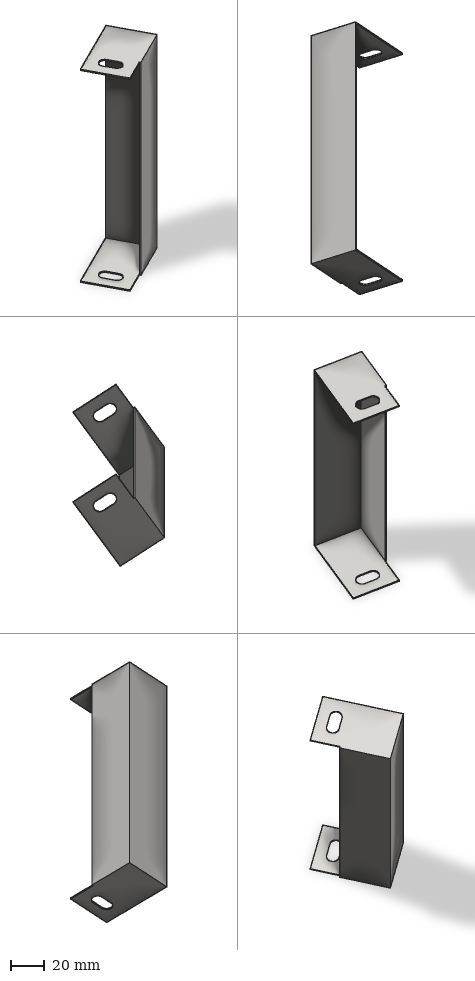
import cadquery as cq

height = 151.6
width = 31.8
depth = 49.1
sheet = 1.0

side_wall_depth = 31.0
slot_length = 15.0
slot_width = 7.5
slot_from_front = 10.9

flange_width = width - sheet


def plate(x_size, y_size, z_size, x_start, y_start, z_start):
    """Box placed by its lowest corner."""
    box = cq.Workplane("XY").box(x_size, y_size, z_size, centered=False)
    return box.translate((x_start, y_start, z_start))


back_wall = plate(width, sheet, height, 0, depth - sheet, 0)

side_wall = plate(sheet, side_wall_depth, height, flange_width, depth - side_wall_depth, 0)

bracket = back_wall.union(side_wall)
for flange_start in (0, height - sheet):
    bracket = bracket.union(plate(flange_width, depth, sheet, 0, 0, flange_start))

slot_cutter = (
    cq.Workplane("XY")
    .center(flange_width / 2, slot_from_front)
    .slot2D(slot_length, slot_width)
    .extrude(height)
)

result = bracket.cut(slot_cutter)